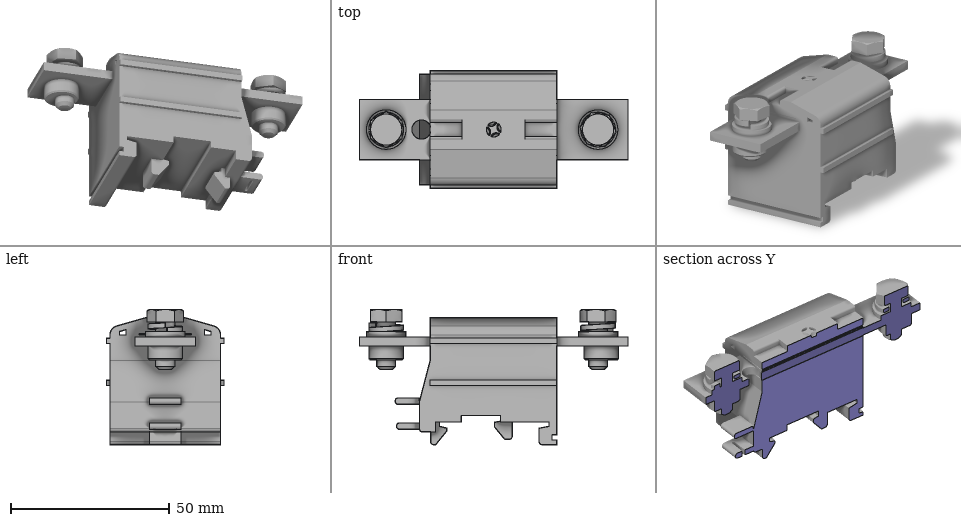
import cadquery as cq
import math

BLOCK_X_MIN = -20.15
BLOCK_X_MAX = 20.0
BLOCK_WIDTH = 35.0
ROOF_Z = 40.2
ROOF_FLAT_WIDTH = 12.5
ROOF_SHOULDER_Z = 37.0
ROOF_RADIUS = 3.0
NOSE_X = -23.55
NOSE_TOP_Z = 13.6
SLOPE_TOP_Z = 26.6
CORNER_RADIUS = 1.0

SEAT_Z = 7.1
NOSE_BOTTOM_Z = 4.1
NOSE_FOOT_X = -18.4
CHANNEL_X_MIN = -10.2
CHANNEL_X_MAX = 2.1
CHANNEL_Z = 9.3
CATCH_THROAT_X = 17.4
CATCH_TIP_X = 14.3
LIP_ROOT_Z = 5.9
LIP_TIP_Z = 5.3
NOTCH_X = 18.45
NOTCH_Z_MIN = 1.5
NOTCH_Z_MAX = 3.15

RIB_HEIGHT = 1.8
RIB_PROJECTION = 1.1
RIB_BOTTOMS_Z = (18.7, 32.0)

WINDOW_Y_MIN = 12.4
WINDOW_Y_MAX = 14.45
WINDOW_Z_MIN = 34.8
WINDOW_OUTER_Z = 35.8
WINDOW_INNER_Z = 36.4
SLIT_WIDTH = 16.3
SLIT_HEIGHT = 0.25
SLIT_BOTTOM_Z = 34.85

POCKET_LENGTH = 10.0
POCKET_WIDTH = 4.4
POCKET_DEPTH = 2.2
POCKET_RIM_RADIUS = 0.8
STAR_DIAMETER = 4.7
STAR_SCALLOP_RADIUS = 1.8
STAR_SCALLOP_OFFSET = 2.9
STAR_DEPTH = 1.0
STAR_TAPER = 20.0
STAR_ANGLE = 16.0
STAR_SCALLOPS = 4

LATCH_WIDTH = 10.0
TONGUE_THICKNESS = 2.1
UPPER_TONGUE_X = -31.2
UPPER_TONGUE_Z = 12.75
LOWER_TONGUE_X = -30.8
LOWER_TONGUE_Z = 4.85
TONGUE_SLOT_LENGTH = 7.2
TONGUE_SLOT_WIDTH = 1.0
TONGUE_SLOT_X = -27.5
LATCH_HOOK_BACK_X = -20.0
LATCH_HOOK_NECK_X = -17.1
LATCH_HOOK_TIP_X = -14.8
LATCH_HOOK_TIP_Z = 4.4
LATCH_HOOK_TOE_X = -18.4
MIDDLE_HOOK_TIP_X = 0.2
MIDDLE_HOOK_TIP_Z = 5.7
MIDDLE_HOOK_TOE_X = 3.5
MIDDLE_HOOK_BACK_X = 5.9
MIDDLE_HOOK_BOTTOM_Z = 1.7
MIDDLE_HOOK_ROOT_Z = 7.5

BAR_LENGTH = 85.0
BAR_WIDTH = 19.1
BAR_BOTTOM_Z = 31.2
BAR_TOP_Z = 34.1
BAR_HOLE_DIAMETER = 6.0
BAR_HOLE_X = -22.9

COLLAR_DIAMETER = 11.0
COLLAR_X = 34.0
COLLAR_BOTTOM_Z = 26.9
COLLAR_CHAMFER = 0.4
WASHER_DIAMETER = 12.5
WASHER_TOP_Z = 35.8
SPRING_OUTER_DIAMETER = 11.0
SPRING_INNER_DIAMETER = 6.6
SPRING_THICKNESS = 1.5
SPRING_PITCH = 1.5
SPRING_TURNS = 0.98
SPRING_BOTTOM_Z = 35.5
SHANK_DIAMETER = 6.0
SHANK_TIP_Z = 23.8
SHANK_CHAMFER = 1.0
HEAD_BOTTOM_Z = 38.85
HEAD_TOP_Z = 42.8
HEAD_SIDES = 6
HEAD_ACROSS_FLATS = 10.0
HEAD_TOP_DIAMETER = 9.9
HEAD_CHAMFER_ANGLE = 30.0
BOLTS = ((-COLLAR_X, 180.0), (33.0, 22.0))


def box_between(x_min, x_max, y_min, y_max, z_min, z_max):
    size = (x_max - x_min, y_max - y_min, z_max - z_min)
    return cq.Workplane("XY").box(*size, centered=False).translate((x_min, y_min, z_min))


def cylinder(x, diameter, z_min, z_max):
    return cq.Workplane("XY", origin=(x, 0, z_min)).circle(diameter / 2).extrude(z_max - z_min)


def side_plate(points, width):
    """Extrude an X-Z outline symmetrically about the Y = 0 plane."""
    return cq.Workplane("XZ").polyline(points).close().extrude(width / 2, both=True)


def round_edge(body, x, z, radius):
    """Round the edge that runs along Y through the point (x, z)."""
    return body.edges("|Y").edges(cq.selectors.NearestToPointSelector((x, 0, z))).fillet(radius)


def lengthwise_prism(points):
    """Extrude a Y-Z outline over the length of the housing block, nose included."""
    length = BLOCK_X_MAX - NOSE_X
    return cq.Workplane("YZ", origin=(NOSE_X, 0, 0)).polyline(points).close().extrude(length)


def make_block():
    side_outline = [
        (BLOCK_X_MIN, ROOF_Z),
        (BLOCK_X_MIN, SLOPE_TOP_Z),
        (NOSE_X, NOSE_TOP_Z),
        (NOSE_X, NOSE_BOTTOM_Z),
        (NOSE_FOOT_X, NOSE_BOTTOM_Z),
        (NOSE_FOOT_X, SEAT_Z),
        (CHANNEL_X_MIN, SEAT_Z),
        (CHANNEL_X_MIN, CHANNEL_Z),
        (CHANNEL_X_MAX, CHANNEL_Z),
        (CHANNEL_X_MAX, SEAT_Z),
        (CATCH_THROAT_X, SEAT_Z),
        (CATCH_THROAT_X, LIP_ROOT_Z),
        (CATCH_TIP_X, LIP_TIP_Z),
        (CATCH_TIP_X, 0),
        (BLOCK_X_MAX, 0),
        (BLOCK_X_MAX, NOTCH_Z_MIN),
        (NOTCH_X, NOTCH_Z_MIN),
        (NOTCH_X, NOTCH_Z_MAX),
        (BLOCK_X_MAX, NOTCH_Z_MAX),
        (BLOCK_X_MAX, ROOF_Z),
    ]
    block = side_plate(side_outline, BLOCK_WIDTH)
    for x, z in ((NOSE_X, NOSE_BOTTOM_Z), (CATCH_TIP_X, 0)):
        block = round_edge(block, x, z, CORNER_RADIUS)

    half_width = BLOCK_WIDTH / 2
    half_flat = ROOF_FLAT_WIDTH / 2
    envelope = lengthwise_prism([
        (-half_width, 0),
        (half_width, 0),
        (half_width, ROOF_SHOULDER_Z),
        (half_flat, ROOF_Z),
        (-half_flat, ROOF_Z),
        (-half_width, ROOF_SHOULDER_Z),
    ])
    for side in (-1, 1):
        shoulder = (0, side * half_width, ROOF_SHOULDER_Z)
        shoulder_edge = cq.selectors.NearestToPointSelector(shoulder)
        envelope = envelope.edges("|X").edges(shoulder_edge).fillet(ROOF_RADIUS)
    return block.intersect(envelope)


def make_rib(side, z_bottom):
    y_root = side * BLOCK_WIDTH / 2
    y_outer = y_root + side * RIB_PROJECTION
    y_min, y_max = sorted((y_root, y_outer))
    return box_between(BLOCK_X_MIN, BLOCK_X_MAX, y_min, y_max, z_bottom, z_bottom + RIB_HEIGHT)


def make_window(side):
    return lengthwise_prism([
        (side * WINDOW_Y_MIN, WINDOW_Z_MIN),
        (side * WINDOW_Y_MAX, WINDOW_Z_MIN),
        (side * WINDOW_Y_MAX, WINDOW_OUTER_Z),
        (side * WINDOW_Y_MIN, WINDOW_INNER_Z),
    ])


def make_slit():
    half = SLIT_WIDTH / 2
    return box_between(NOSE_X, BLOCK_X_MAX, -half, half, SLIT_BOTTOM_Z, SLIT_BOTTOM_Z + SLIT_HEIGHT)


def make_roof_pocket(x_start):
    """Open-ended pocket whose long rims flare out with a quarter round."""
    half = POCKET_WIDTH / 2
    rim = half + POCKET_RIM_RADIUS
    floor_z = ROOF_Z - POCKET_DEPTH
    flare_z = ROOF_Z - POCKET_RIM_RADIUS
    arc_inset = POCKET_RIM_RADIUS * math.sqrt(0.5)
    arc_y = rim - arc_inset
    arc_z = flare_z + arc_inset
    return (
        cq.Workplane("YZ", origin=(x_start, 0, 0))
        .moveTo(-half, floor_z)
        .lineTo(half, floor_z)
        .lineTo(half, flare_z)
        .threePointArc((arc_y, arc_z), (rim, ROOF_Z))
        .lineTo(-rim, ROOF_Z)
        .threePointArc((-arc_y, arc_z), (-half, flare_z))
        .close()
        .extrude(POCKET_LENGTH)
    )


def make_star_recess():
    """Four tapered scallops in a round rim, around a star that stays level with the roof."""
    roof = cq.Workplane("XY", origin=(0, 0, ROOF_Z))
    rim = roof.circle(STAR_DIAMETER / 2).extrude(-STAR_DEPTH)
    scallops = (
        roof.polarArray(STAR_SCALLOP_OFFSET, STAR_ANGLE, 360, STAR_SCALLOPS)
        .circle(STAR_SCALLOP_RADIUS)
        .extrude(-STAR_DEPTH, taper=STAR_TAPER)
    )
    return scallops.intersect(rim)


def make_tongue(x_tip, z_bottom):
    """Flat tongue with a fully rounded front edge."""
    radius = TONGUE_THICKNESS / 2
    z_top = z_bottom + TONGUE_THICKNESS
    return (
        cq.Workplane("XZ")
        .moveTo(NOSE_X, z_bottom)
        .lineTo(x_tip + radius, z_bottom)
        .threePointArc((x_tip, z_bottom + radius), (x_tip + radius, z_top))
        .lineTo(NOSE_X, z_top)
        .close()
        .extrude(LATCH_WIDTH / 2, both=True)
    )


def make_tongue_slot():
    return (
        cq.Workplane("XY", origin=(TONGUE_SLOT_X, 0, LOWER_TONGUE_Z))
        .slot2D(TONGUE_SLOT_LENGTH, TONGUE_SLOT_WIDTH, 90)
        .extrude(TONGUE_THICKNESS)
    )


def make_latch_hook():
    hook = side_plate([
        (LATCH_HOOK_BACK_X, SEAT_Z),
        (LATCH_HOOK_BACK_X, 0),
        (LATCH_HOOK_TOE_X, 0),
        (LATCH_HOOK_TIP_X, LATCH_HOOK_TIP_Z),
        (LATCH_HOOK_TIP_X, LIP_TIP_Z),
        (LATCH_HOOK_NECK_X, LIP_ROOT_Z),
        (LATCH_HOOK_NECK_X, SEAT_Z),
    ], LATCH_WIDTH)
    return round_edge(hook, LATCH_HOOK_BACK_X, 0, CORNER_RADIUS)


def make_middle_hook():
    hook = side_plate([
        (MIDDLE_HOOK_BACK_X, MIDDLE_HOOK_ROOT_Z),
        (MIDDLE_HOOK_BACK_X, MIDDLE_HOOK_BOTTOM_Z),
        (MIDDLE_HOOK_TOE_X, MIDDLE_HOOK_BOTTOM_Z),
        (MIDDLE_HOOK_TIP_X, MIDDLE_HOOK_TIP_Z),
        (MIDDLE_HOOK_TIP_X, SEAT_Z),
        (CHANNEL_X_MAX, MIDDLE_HOOK_ROOT_Z),
    ], LATCH_WIDTH)
    return round_edge(hook, MIDDLE_HOOK_BACK_X, MIDDLE_HOOK_BOTTOM_Z, CORNER_RADIUS)


def make_bar():
    half_length = BAR_LENGTH / 2
    half_width = BAR_WIDTH / 2
    return box_between(-half_length, half_length, -half_width, half_width, BAR_BOTTOM_Z, BAR_TOP_Z)


def make_housing():
    housing = make_block()
    for side in (-1, 1):
        for z_bottom in RIB_BOTTOMS_Z:
            housing = housing.union(make_rib(side, z_bottom))
        housing = housing.cut(make_window(side))
    housing = housing.cut(make_slit())
    for x_start in (BLOCK_X_MIN, BLOCK_X_MAX - POCKET_LENGTH):
        housing = housing.cut(make_roof_pocket(x_start))
    housing = housing.cut(make_star_recess())
    housing = housing.union(make_tongue(UPPER_TONGUE_X, UPPER_TONGUE_Z))
    housing = housing.union(make_tongue(LOWER_TONGUE_X, LOWER_TONGUE_Z).cut(make_tongue_slot()))
    housing = housing.union(make_latch_hook()).union(make_middle_hook())
    return housing.cut(make_bar())


def make_collar(x):
    collar = cylinder(x, COLLAR_DIAMETER, COLLAR_BOTTOM_Z, BAR_BOTTOM_Z)
    return collar.faces("<Z").chamfer(COLLAR_CHAMFER)


def make_spring_washer():
    """Almost one turn of a rectangular-section helix, ending above the +X axis."""
    inner = SPRING_INNER_DIAMETER / 2
    outer = SPRING_OUTER_DIAMETER / 2
    path = cq.Wire.makeHelix(SPRING_PITCH, SPRING_PITCH * SPRING_TURNS, (inner + outer) / 2)
    section = (
        cq.Workplane("XZ")
        .moveTo((inner + outer) / 2, SPRING_THICKNESS / 2)
        .rect(outer - inner, SPRING_THICKNESS)
    )
    path = path.translate(cq.Vector(0, 0, SPRING_THICKNESS / 2))
    coil = section.sweep(cq.Workplane(path), isFrenet=True)
    gap_angle = 360 * (1 - SPRING_TURNS)
    return coil.rotate((0, 0, 0), (0, 0, 1), gap_angle).translate((0, 0, SPRING_BOTTOM_Z))


def make_bolt_head():
    """Hexagon with its upper corners turned off by a cone."""
    corner_radius = HEAD_ACROSS_FLATS / 2 / math.cos(math.pi / HEAD_SIDES)
    top_radius = HEAD_TOP_DIAMETER / 2
    chamfer_drop = (corner_radius - top_radius) * math.tan(math.radians(HEAD_CHAMFER_ANGLE))
    hexagon = (
        cq.Workplane("XY", origin=(0, 0, HEAD_BOTTOM_Z))
        .polygon(HEAD_SIDES, 2 * corner_radius)
        .extrude(HEAD_TOP_Z - HEAD_BOTTOM_Z)
    )
    turned = (
        cq.Workplane("XZ")
        .polyline([
            (0, HEAD_BOTTOM_Z),
            (corner_radius, HEAD_BOTTOM_Z),
            (corner_radius, HEAD_TOP_Z - chamfer_drop),
            (top_radius, HEAD_TOP_Z),
            (0, HEAD_TOP_Z),
        ])
        .close()
        .revolve(360, (0, 0), (0, 1))
    )
    return hexagon.intersect(turned).rotate((0, 0, 0), (0, 0, 1), 180 / HEAD_SIDES)


def make_bolt(x, turn_angle):
    """Bolt with its spring washer and flat washer, standing on the busbar."""
    shank = cylinder(0, SHANK_DIAMETER, SHANK_TIP_Z, HEAD_BOTTOM_Z).faces("<Z").chamfer(SHANK_CHAMFER)
    washer = cylinder(0, WASHER_DIAMETER, BAR_TOP_Z, WASHER_TOP_Z)
    bolt = shank.union(washer).union(make_spring_washer()).union(make_bolt_head())
    return bolt.rotate((0, 0, 0), (0, 0, 1), turn_angle).translate((x, 0, 0))


def make_conductor():
    bar = make_bar()
    conductor = bar.cut(cylinder(BAR_HOLE_X, BAR_HOLE_DIAMETER, BAR_BOTTOM_Z, BAR_TOP_Z))
    for x in (-COLLAR_X, COLLAR_X):
        conductor = conductor.union(make_collar(x))
    for x, turn_angle in BOLTS:
        conductor = conductor.union(make_bolt(x, turn_angle))
    return conductor


housing = make_housing()
conductor = make_conductor()
result = cq.Compound.makeCompound([housing.solids().val(), conductor.solids().val()])